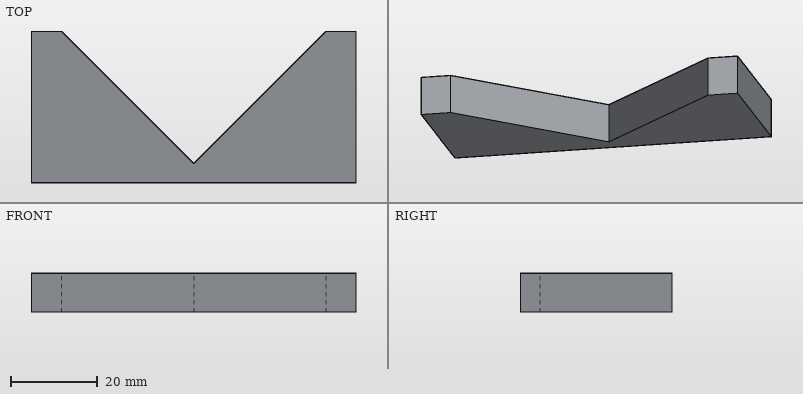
import cadquery as cq

length = 75.0
width = 35.0
thickness = 9.0
notch_depth = 30.5
notch_half_width = notch_depth


def make_plate():
    return cq.Workplane("XY").box(length, width, thickness)


def make_notch():
    edge_y = width / 2
    return (
        cq.Workplane("XY")
        .moveTo(-notch_half_width, edge_y)
        .lineTo(0, edge_y - notch_depth)
        .lineTo(notch_half_width, edge_y)
        .close()
        .extrude(thickness / 2, both=True)
    )


result = make_plate().cut(make_notch())